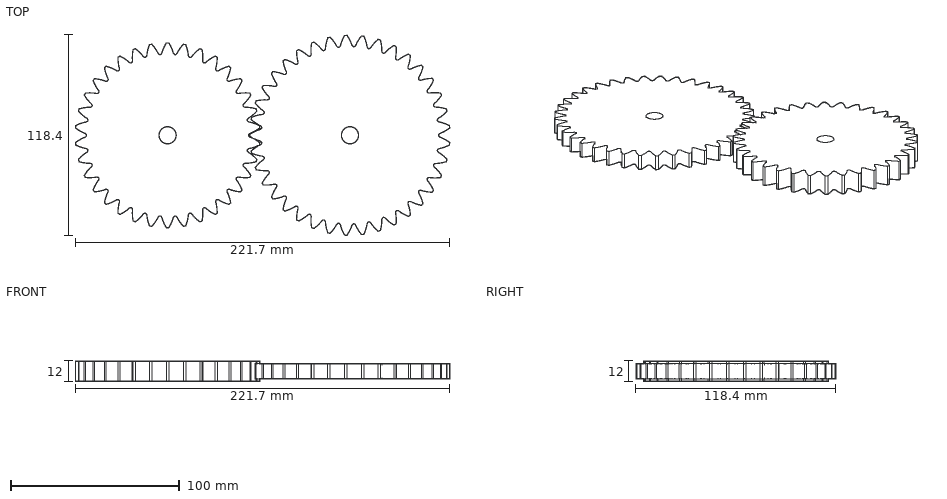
import cadquery as cq
import math

MODULE = 3.0
PRESSURE_ANGLE = 25.0
PROFILE_SHIFT = 0.25
ADDENDUM = 1.0
CLEARANCE = 0.25
FLANK_SPANS = 6

BORE_DIAMETER = 10.0

PINION_TEETH = 34
PINION_THICKNESS = 12.0
WHEEL_TEETH = 37
WHEEL_THICKNESS = 9.0

CENTRE_DISTANCE = MODULE * ((PINION_TEETH + WHEEL_TEETH) / 2 + 2 * PROFILE_SHIFT)


def involute(angle):
    """Involute function of a pressure angle in radians."""
    return math.tan(angle) - angle


def polar(radius, angle):
    return (radius * math.cos(angle), radius * math.sin(angle))


def gear(teeth, thickness, first_tooth_angle):
    """Spur gear about the Z axis, centred on z = 0, with one tooth centred on the given angle."""
    pressure = math.radians(PRESSURE_ANGLE)
    pitch_radius = MODULE * teeth / 2
    base_radius = pitch_radius * math.cos(pressure)
    shifted_radius = pitch_radius + MODULE * PROFILE_SHIFT
    tip_radius = shifted_radius + MODULE * ADDENDUM
    flank_start_radius = shifted_radius - MODULE * ADDENDUM
    root_radius = flank_start_radius - MODULE * CLEARANCE
    tooth_pitch = 2 * math.pi / teeth
    pitch_half_angle = (math.pi / 2 + 2 * PROFILE_SHIFT * math.tan(pressure)) / teeth

    def half_angle(radius):
        """Half of the angle that a tooth spans at a radius."""
        return pitch_half_angle + involute(pressure) - involute(math.acos(base_radius / radius))

    flank_length = tip_radius - flank_start_radius
    flank_radii = [flank_start_radius + flank_length * i / FLANK_SPANS for i in range(FLANK_SPANS + 1)]
    tip_half_angle = half_angle(tip_radius)

    outline = cq.Workplane("XY").workplane(offset=-thickness / 2)
    outline = outline.moveTo(*polar(tip_radius, first_tooth_angle - tip_half_angle))
    for tooth in range(teeth):
        centre = first_tooth_angle + tooth * tooth_pitch
        next_centre = centre + tooth_pitch
        tip_end = polar(tip_radius, centre + tip_half_angle)
        outline = outline.threePointArc(polar(tip_radius, centre), tip_end)

        falling_flank = [polar(radius, centre + half_angle(radius)) for radius in reversed(flank_radii)]
        root_bottom = polar(root_radius, centre + tooth_pitch / 2)
        rising_flank = [polar(radius, next_centre - half_angle(radius)) for radius in flank_radii]
        gap = [*falling_flank[1:], root_bottom, *rising_flank]
        outline = outline.spline(gap, includeCurrent=True)

    return outline.close().extrude(thickness).faces(">Z").workplane(origin=(0, 0, 0)).hole(BORE_DIAMETER)


pinion = gear(PINION_TEETH, PINION_THICKNESS, math.pi / PINION_TEETH)

wheel = gear(WHEEL_TEETH, WHEEL_THICKNESS, math.pi).translate((CENTRE_DISTANCE, 0, 0))

result = cq.Compound.makeCompound([pinion.val(), wheel.val()])